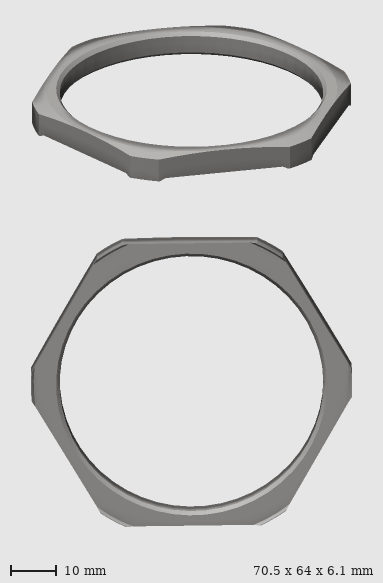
import cadquery as cq
import math

corner_diameter = 70.5
across_flats = 64.0
height = 6.1
bore_diameter = 57.8
bore_chamfer = 0.8

bevel_angle = 15.0

recess_mouth_radius = 35.1
recess_floor_radius = 34.6
recess_depth = 0.6


def turned_blank():
    """Solid of revolution that carries the top bevel and the corner radius."""
    corner_radius = corner_diameter / 2
    top_radius = across_flats / 2
    bevel_drop = (corner_radius - top_radius) * math.tan(math.radians(bevel_angle))
    profile = (
        cq.Workplane("XZ")
        .lineTo(corner_radius, 0)
        .lineTo(corner_radius, height - bevel_drop)
        .lineTo(top_radius, height)
        .lineTo(0, height)
        .close()
    )
    return profile.revolve(360, (0, 0, 0), (0, 1, 0))


def hexagon_prism():
    """Hexagon with two corners on the X axis."""
    hexagon_diameter = across_flats / math.cos(math.pi / 6)
    return cq.Workplane("XY").polygon(6, hexagon_diameter).extrude(height)


def bore():
    """Through hole with 45 degree chamfers at the top face and the recess floor."""
    radius = bore_diameter / 2
    chamfer_radius = radius + bore_chamfer
    profile = (
        cq.Workplane("XZ")
        .lineTo(chamfer_radius, 0)
        .lineTo(chamfer_radius, recess_depth)
        .lineTo(radius, recess_depth + bore_chamfer)
        .lineTo(radius, height - bore_chamfer)
        .lineTo(chamfer_radius, height)
        .lineTo(0, height)
        .close()
    )
    return profile.revolve(360, (0, 0, 0), (0, 1, 0))


def bottom_recess():
    """Tapered disc removed from the underside."""
    profile = (
        cq.Workplane("XZ")
        .lineTo(recess_mouth_radius, 0)
        .lineTo(recess_floor_radius, recess_depth)
        .lineTo(0, recess_depth)
        .close()
    )
    return profile.revolve(360, (0, 0, 0), (0, 1, 0))


result = turned_blank().intersect(hexagon_prism()).cut(bore()).cut(bottom_recess())